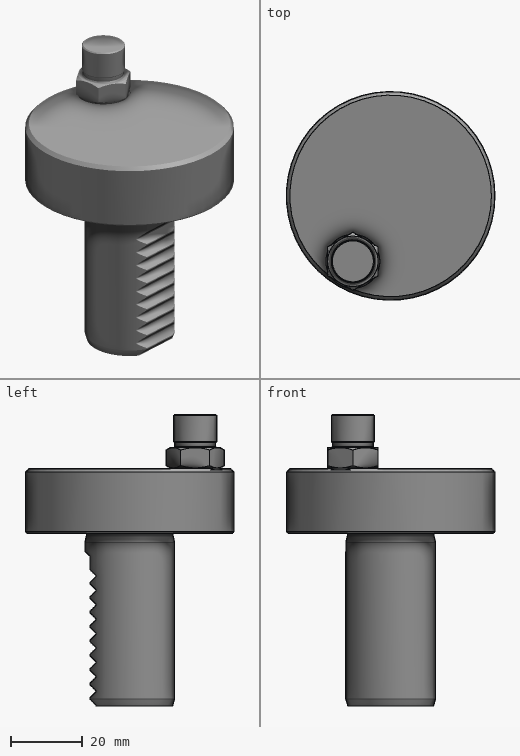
import cadquery as cq
import math

FLANGE_DIAMETER = 58.0
FLANGE_HEIGHT = 18.0
FLANGE_TOP_CHAMFER = 1.0
FLANGE_BOTTOM_CHAMFER = 0.5

SHANK_DIAMETER = 25.0
SHANK_LENGTH = 48.0
TIP_TAPER_ANGLE = 17.0
TIP_TAPER_LENGTH = 2.0
NECK_DIAMETER = 24.1
NECK_LENGTH = 0.25
NECK_ARC_RADIUS = 1.0
NECK_ARC_ANGLE = 14.0
SHOULDER_DEPTH = 2.5

TOOTH_PITCH = 4.0
TOOTH_COUNT = 10
TOOTH_ANGLE = 90.0
CREST_Y = 11.1
ROOT_Y = 9.4
ROOT_FLAT = 0.3
FIRST_ROOT_DEPTH = 11.85
FLAT_START_DEPTH = 5.0
RUNOUT_LENGTH = 1.3

FITTING_PITCH_RADIUS = 21.0
FITTING_ANGLE = 240.0
RECESS_DIAMETER = 15.0
RECESS_DEPTH = 0.45
COLLAR_DIAMETER = 14.0
COLLAR_RISE = 0.2
HEX_SIDES = 6
HEX_ACROSS_FLATS = 14.0
HEX_HEIGHT = 5.6
HEX_CHAMFER_ANGLE = 30.0
GROOVE_DIAMETER = 11.4
GROOVE_LENGTH = 1.4
GROOVE_FLARE = 0.3
STUD_DIAMETER = 12.0
STUD_TOP = 15.0
STUD_CHAMFER = 0.3


def make_flange():
    disc = cq.Workplane("XY").circle(FLANGE_DIAMETER / 2).extrude(FLANGE_HEIGHT)
    disc = disc.faces(">Z").chamfer(FLANGE_TOP_CHAMFER)
    return disc.faces("<Z").chamfer(FLANGE_BOTTOM_CHAMFER)


def make_shank():
    """Round shank with an arc-ended neck under the flange and a tapered tip."""
    radius = SHANK_DIAMETER / 2
    neck_radius = NECK_DIAMETER / 2
    tip_radius = radius - TIP_TAPER_LENGTH * math.tan(math.radians(TIP_TAPER_ANGLE))

    arc_angle = math.radians(NECK_ARC_ANGLE)
    arc_height = NECK_ARC_RADIUS * math.sin(arc_angle)
    arc_end_radius = neck_radius + NECK_ARC_RADIUS * (1 - math.cos(arc_angle))
    neck_bottom = -arc_height - NECK_LENGTH
    return (
        cq.Workplane("XZ")
        .lineTo(arc_end_radius, 0)
        .radiusArc((neck_radius, -arc_height), -NECK_ARC_RADIUS)
        .lineTo(neck_radius, neck_bottom)
        .radiusArc((arc_end_radius, neck_bottom - arc_height), -NECK_ARC_RADIUS)
        .lineTo(radius, -SHOULDER_DEPTH)
        .lineTo(radius, TIP_TAPER_LENGTH - SHANK_LENGTH)
        .lineTo(tip_radius, -SHANK_LENGTH)
        .lineTo(0, -SHANK_LENGTH)
        .close()
        .revolve(360, (0, 0, 0), (0, 1, 0))
    )


def make_rack_cut():
    """Material removed from the shank: a long flat plus the gaps between teeth."""
    radius = SHANK_DIAMETER / 2
    flat = (
        cq.Workplane("YZ")
        .moveTo(radius, -FLAT_START_DEPTH)
        .lineTo(CREST_Y, -FLAT_START_DEPTH - RUNOUT_LENGTH)
        .lineTo(CREST_Y, -SHANK_LENGTH)
        .lineTo(radius, -SHANK_LENGTH)
        .close()
        .extrude(radius, both=True)
    )
    half_root = ROOT_FLAT / 2
    half_mouth = half_root + (radius - ROOT_Y) * math.tan(math.radians(TOOTH_ANGLE / 2))
    gap = (
        cq.Workplane("YZ")
        .moveTo(ROOT_Y, -half_root)
        .lineTo(ROOT_Y, half_root)
        .lineTo(radius, half_mouth)
        .lineTo(radius, -half_mouth)
        .close()
        .extrude(radius, both=True)
    )
    cut = flat
    for index in range(TOOTH_COUNT):
        cut = cut.union(gap.translate((0, 0, -FIRST_ROOT_DEPTH - index * TOOTH_PITCH)))
    return cut


def make_hex():
    """Hexagon with corners on +Y and -Y, both ends turned to a cone."""
    half_side_angle = 180 / HEX_SIDES
    flat_radius = HEX_ACROSS_FLATS / 2
    corner_radius = flat_radius / math.cos(math.radians(half_side_angle))
    cone_height = (corner_radius - flat_radius) * math.tan(math.radians(HEX_CHAMFER_ANGLE))
    prism = (
        cq.Workplane("XY")
        .polygon(HEX_SIDES, 2 * corner_radius)
        .extrude(HEX_HEIGHT)
        .rotate((0, 0, 0), (0, 0, 1), half_side_angle)
    )
    turned = (
        cq.Workplane("XZ")
        .lineTo(flat_radius, 0)
        .lineTo(corner_radius, cone_height)
        .lineTo(corner_radius, HEX_HEIGHT - cone_height)
        .lineTo(flat_radius, HEX_HEIGHT)
        .lineTo(0, HEX_HEIGHT)
        .close()
        .revolve(360, (0, 0, 0), (0, 1, 0))
    )
    return prism.intersect(turned)


def make_recess():
    """Shallow round recess that breaks out through the flange's top chamfer."""
    return cq.Workplane("XY").circle(RECESS_DIAMETER / 2).extrude(-RECESS_DEPTH)


def make_fitting():
    """Collar standing on the recess floor, hexagon, groove and plain stud."""
    hex_top = COLLAR_RISE + HEX_HEIGHT
    stud_bottom = hex_top + GROOVE_LENGTH
    collar = (
        cq.Workplane("XY", origin=(0, 0, -RECESS_DEPTH))
        .circle(COLLAR_DIAMETER / 2)
        .extrude(RECESS_DEPTH + COLLAR_RISE)
    )
    groove_radius = GROOVE_DIAMETER / 2
    stud_radius = STUD_DIAMETER / 2
    stud = (
        cq.Workplane("XZ")
        .lineTo(groove_radius + GROOVE_FLARE, 0)
        .lineTo(groove_radius + GROOVE_FLARE, hex_top)
        .lineTo(groove_radius, hex_top + GROOVE_FLARE)
        .lineTo(groove_radius, stud_bottom)
        .lineTo(stud_radius, stud_bottom + stud_radius - groove_radius)
        .lineTo(stud_radius, STUD_TOP - STUD_CHAMFER)
        .lineTo(stud_radius - STUD_CHAMFER, STUD_TOP)
        .lineTo(0, STUD_TOP)
        .close()
        .revolve(360, (0, 0, 0), (0, 1, 0))
    )
    return collar.union(make_hex().translate((0, 0, COLLAR_RISE))).union(stud)


fitting_angle = math.radians(FITTING_ANGLE)
fitting_place = (
    FITTING_PITCH_RADIUS * math.cos(fitting_angle),
    FITTING_PITCH_RADIUS * math.sin(fitting_angle),
    FLANGE_HEIGHT,
)

shank = make_shank().cut(make_rack_cut())
flange = make_flange().cut(make_recess().translate(fitting_place))
result = flange.union(shank).union(make_fitting().translate(fitting_place))